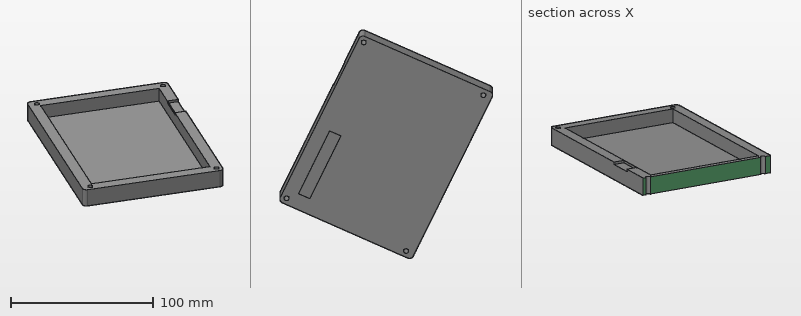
import cadquery as cq

length = 137.0
width = 103.3
body_height = 13.0
corner_radius = 3.0

end_wall = 7.7
side_wall = 8.1
floor_thickness = 2.9

hole_diameter = 3.4
hole_end_inset = 4.4
hole_back_inset = 4.2
hole_front_inset = 6.3

notch_left = -41.2
notch_width = 18.2
notch_depth = 1.8
skin_thickness = 0.1

pad_left = 5.8
pad_length = 51.6
pad_front = 32.5
pad_width = 8.8
pad_thickness = 0.1


def corner_block(x, y, z, size_x, size_y, size_z):
    """Box placed by its lowest corner."""
    return cq.Workplane("XY").box(size_x, size_y, size_z, centered=False).translate((x, y, z))


def tray_body():
    outer = cq.Workplane("XY").box(length, width, body_height, centered=(True, True, False))
    outer = outer.edges("|Z").fillet(corner_radius)
    pocket = corner_block(
        end_wall - length / 2,
        side_wall - width / 2,
        floor_thickness,
        length - 2 * end_wall,
        width - 2 * side_wall,
        body_height - floor_thickness,
    )
    return outer.cut(pocket)


def corner_holes():
    hole_x = length / 2 - hole_end_inset
    back_y = width / 2 - hole_back_inset
    front_y = hole_front_inset - width / 2
    centers = [(x, y) for x in (-hole_x, hole_x) for y in (front_y, back_y)]
    return cq.Workplane("XY").pushPoints(centers).circle(hole_diameter / 2).extrude(body_height)


def rim_notch():
    reach = side_wall - skin_thickness
    return corner_block(
        notch_left,
        width / 2 - reach,
        body_height - notch_depth,
        notch_width,
        reach,
        notch_depth,
    )


def underside_pad():
    return corner_block(pad_left, pad_front, -pad_thickness, pad_length, pad_width, pad_thickness)


result = tray_body().cut(corner_holes()).cut(rim_notch()).union(underside_pad())